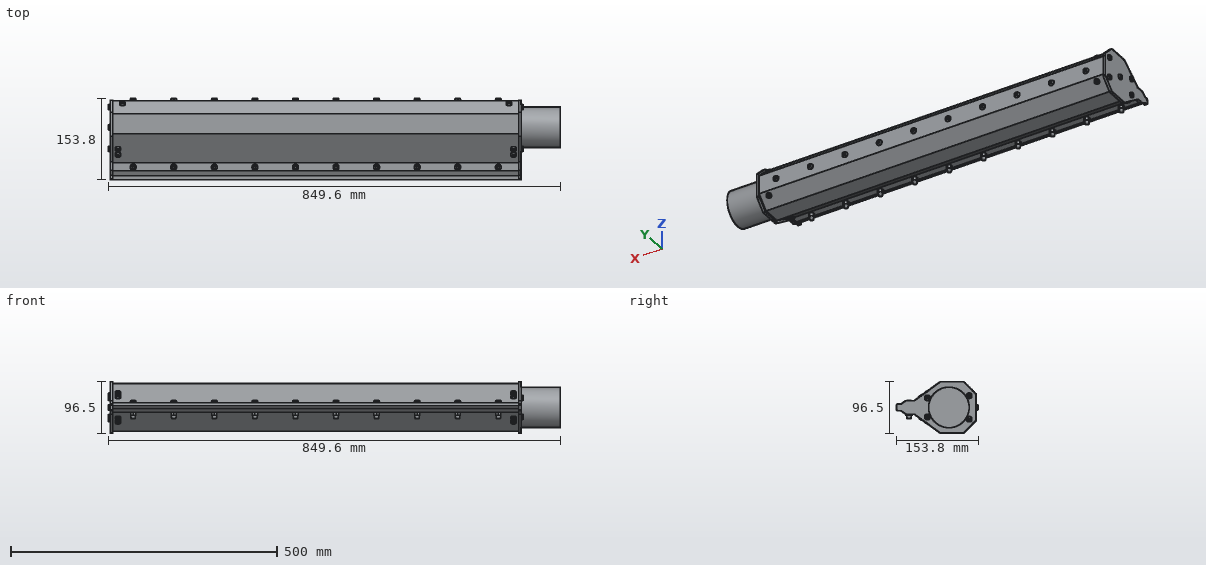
import cadquery as cq
import math

body_length = 762.0
plate_thickness = 5.0
tube_diameter = 76.2
overall_length = 849.63
overall_depth = 153.78
plate_height = 96.52

head_diameter = 10.5
head_height = 4.0
head_top_diameter = 5.0
socket_width = 4.0
socket_depth = 2.0
head_rim_height = 0.8
washer_diameter = 11.0
washer_thickness = 0.7

seat_overlap = 1.0

body_rear_y = 50.3
nose_y = body_rear_y + washer_thickness + head_height - overall_depth
body_half_height = 45.0
body_top_rear_y = 25.5
body_top_front_y = -12.5
body_rear_half_height = body_half_height - (body_rear_y - body_top_rear_y)
flange_half_height = 8.6
flange_rear_y = -67.0
flange_front_y = -82.0
lip_half_height = 3.3
lip_rear_y = -91.2
nose_tip_setback = 2.0
nose_undercut_z = -1.3

plate_rear_y = 51.0
plate_half_height = plate_height / 2
plate_top_rear_y = 28.0
plate_top_front_y = -16.5
plate_rear_half_height = plate_half_height - (plate_rear_y - plate_top_rear_y)
plate_neck_half_height = 13.0
plate_neck_rear_y = -65.0
plate_neck_front_y = -81.0
plate_lip_half_height = 6.5
plate_lip_rear_y = -90.0
plate_lip_front_y = -97.0
plate_tip_half_height = 4.0

row_count = 10
row_pitch = 76.2
flange_screw_y = -75.0

nut_width = 10.0
nut_hexagon_height = 6.5
nut_cap_diameter = 8.5
nut_height = 13.0
nut_cap_rounding = 3.0

plate_screw_places = [(38.0, 22.0), (-40.5, 18.0)]

front_slope_screw_inset = 9.5
front_slope_screw_ys = [-40.5, -51.0]
rear_slope_screw_inset = 18.0
rear_slope_screw_y = 44.0


def mirrored(upper_points):
    """Outline that is symmetric about Z = 0, from its upper half."""
    return upper_points + [(y, -z) for y, z in reversed(upper_points)]


def extruded_section(outline, start_x, length):
    """Extrude a (y, z) outline along +X."""
    return cq.Workplane("YZ", origin=(start_x, 0, 0)).polyline(outline).close().extrude(length)


def button_head():
    """Domed screw head with a hexagon socket, seated on Z = 0 and facing +Z."""
    rim_radius = head_diameter / 2
    top_radius = head_top_diameter / 2
    dome_height = head_height - head_rim_height
    dome_spread = rim_radius - top_radius
    arc_middle = (
        top_radius + dome_spread * math.sin(math.pi / 4),
        head_rim_height + dome_height * math.sin(math.pi / 4),
    )
    head = (
        cq.Workplane("XZ")
        .moveTo(0, -seat_overlap)
        .lineTo(rim_radius, -seat_overlap)
        .lineTo(rim_radius, head_rim_height)
        .threePointArc(arc_middle, (top_radius, head_height))
        .lineTo(0, head_height)
        .close()
        .revolve(360, (0, 0, 0), (0, 1, 0))
    )
    socket = (
        cq.Workplane("XY", origin=(0, 0, head_height - socket_depth))
        .polygon(6, socket_width, circumscribed=True)
        .extrude(socket_depth)
    )
    return head.cut(socket)


def button_head_on_washer():
    """Button head lifted by a flat washer seated on Z = 0."""
    washer = (
        cq.Workplane("XY", origin=(0, 0, -seat_overlap))
        .circle(washer_diameter / 2)
        .extrude(seat_overlap + washer_thickness)
    )
    return button_head().translate((0, 0, washer_thickness)).union(washer)


def cap_nut():
    """Hexagon nut with a round closed end, seated on Z = 0 and facing +Z."""
    hexagon = (
        cq.Workplane("XY", origin=(0, 0, -seat_overlap))
        .polygon(6, nut_width, circumscribed=True)
        .extrude(seat_overlap + nut_hexagon_height)
    )
    cap = cq.Workplane("XY").circle(nut_cap_diameter / 2).extrude(nut_height)
    return hexagon.union(cap.faces(">Z").edges().fillet(nut_cap_rounding))


def seated(fastener, place, direction):
    """Copy of a fastener moved to `place` and facing `direction`."""
    return fastener.val().located(cq.Plane(origin=place, normal=direction).location)


def slope_screws(screw, inset, y, start, end):
    """Screws on the sloped face from `start` to `end`, at both ends, above and below."""
    start_y, start_z = start
    end_y, end_z = end
    slope = (end_z - start_z) / (end_y - start_y)
    z = start_z + slope * (y - start_y)
    return [
        seated(screw, (x, y, side * z), (0, -slope, side))
        for x in (inset, body_length - inset)
        for side in (1, -1)
    ]


body_points = [
    (body_rear_y, body_rear_half_height),
    (body_top_rear_y, body_half_height),
    (body_top_front_y, body_half_height),
    (flange_rear_y, flange_half_height),
    (flange_front_y, flange_half_height),
    (lip_rear_y, lip_half_height),
    (nose_y, lip_half_height),
]
plate_points = [
    (plate_rear_y, plate_rear_half_height),
    (plate_top_rear_y, plate_half_height),
    (plate_top_front_y, plate_half_height),
    (plate_neck_rear_y, plate_neck_half_height),
    (plate_neck_front_y, plate_neck_half_height),
    (plate_lip_rear_y, plate_lip_half_height),
    (plate_lip_front_y, plate_lip_half_height),
    (nose_y, plate_tip_half_height),
]

left_x = -plate_thickness
right_x = body_length + plate_thickness
tube_end_x = overall_length - plate_thickness - head_height

body_outline = mirrored(body_points)
nose_index = len(body_points)
body_outline[nose_index] = (nose_y + nose_tip_setback, nose_undercut_z)
body = extruded_section(body_outline, 0, body_length)
left_plate = extruded_section(mirrored(plate_points), left_x, plate_thickness)
right_plate = extruded_section(mirrored(plate_points), body_length, plate_thickness)
tube = (
    cq.Workplane("YZ", origin=(body_length, 0, 0))
    .circle(tube_diameter / 2)
    .extrude(tube_end_x - body_length)
)

plain_screw = button_head()
washer_screw = button_head_on_washer()
nut = cap_nut()
fasteners = [seated(plain_screw, (left_x, 0, 0), (-1, 0, 0))]

for y, z in plate_screw_places:
    for side in (1, -1):
        fasteners.append(seated(plain_screw, (left_x, y, side * z), (-1, 0, 0)))
        fasteners.append(seated(plain_screw, (right_x, y, side * z), (1, 0, 0)))

row_start = (body_length - (row_count - 1) * row_pitch) / 2
for index in range(row_count):
    x = row_start + index * row_pitch
    fasteners.append(seated(washer_screw, (x, flange_screw_y, flange_half_height), (0, 0, 1)))
    fasteners.append(seated(nut, (x, flange_screw_y, -flange_half_height), (0, 0, -1)))
    fasteners.append(seated(washer_screw, (x, body_rear_y, 0), (0, 1, 0)))

rear_slope = body_points[0:2]
front_slope = body_points[2:4]
for y in front_slope_screw_ys:
    fasteners += slope_screws(plain_screw, front_slope_screw_inset, y, *front_slope)
fasteners += slope_screws(plain_screw, rear_slope_screw_inset, rear_slope_screw_y, *rear_slope)

housing = body.union(left_plate).union(right_plate).union(tube)
result = cq.Workplane(housing.val().fuse(*fasteners).Solids()[0])